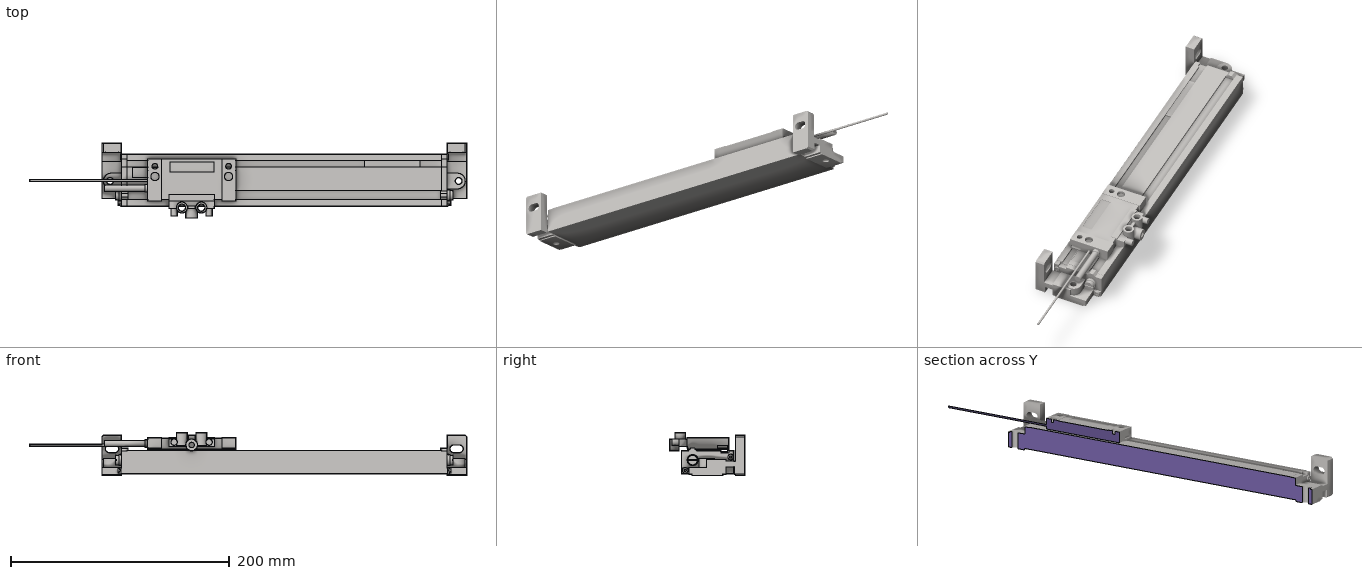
import cadquery as cq


rail_length = 298.0
rail_back = -10.0
rail_front = -58.0
rail_bottom = 1.5
rail_top = 23.0
rail_end = rail_length / 2
cap_length = 5.0
cap_drop = 0.3
back_groove = (-21.9, -15.9)
front_groove = (-51.6, -43.4)
groove_depth = 2.0
cap_groove = (-21.9, -14.6)
cap_groove_depth = 2.4
inlay_start, inlay_end = 73.5, 124.0
inlay_drop = 1.0
plate_recess_start, plate_recess_end = -139.0, -100.0
plate_recess_back, plate_recess_front = -22.5, -31.5
plate_recess_depth = 0.4

tab_length = 6.0
tab_center_y = -47.7
tab_base_width = 8.0
tab_crest_width = 3.5
tab_height = 2.2
lug_thickness = 2.3
lug_back = -51.0
lug_top = 7.0
lug_chamfer = 1.8
plug_z = 14.2
plug_radius = 4.4
plug_reach = 5.5
collar_radius = 5.0
collar_reach = 2.4
plug_slot_width = 0.8
plug_slot_depth = 0.8
screw_radius = 2.6
screw_reach = 1.0
socket_radius = 1.0
cap_screws = [(-12.8, 17.0), (-54.5, 4.8)]

bracket_length = 18.0
bracket_height = 37.0
plate_thickness = 8.5
plate_chamfer = 1.5
mount_slot_length = 12.0
mount_slot_width = 6.9
mount_slot_z = 24.5
mount_slot_from_end = 9.4
flange_bottom = 1.0
recess_front, recess_top = -17.0, 13.3
shelf_front, shelf_top = -35.0, 14.6
toe_front, toe_top = -50.8, 7.5
pad_back, pad_front = -20.0, -48.4
boss_top = 15.7
boss_width = 14.3
boss_y = -34.7
boss_corner = 7.0
boss_inset = 1.5
bracket_hole_diameter = 6.0
bracket_hole_from_end = 7.5
relief_back, relief_front = -9.4, -17.0
relief_top = 8.0

head_start, head_end = -125.0, -44.4
head_back, head_front = -14.6, -52.8
head_bottom, head_top = 24.0, 34.7
end_block_length = 12.8
middle_inset = 0.4
middle_front = -51.6
bottom_lip_height = 1.3
bottom_lip_inset = 0.5
end_pocket_back, end_pocket_front = -15.8, -25.0
end_pocket_top = 27.5
hole_from_end = 6.6
small_hole_y, small_hole_diameter = -21.2, 5.2
large_hole_y, large_hole_diameter = -30.6, 7.6
screw_recess_depth = 3.0
label_start, label_end = -104.7, -64.5
label_back, label_front = -17.2, -26.6
label_depth = 0.4

connector_x = -84.8
connector_block_length = 41.8
connector_block_back, connector_block_front = -47.0, -60.0
connector_block_bottom = 26.6
connector_shoulder_y = -53.0
connector_shoulder_drop = 1.4
tube_pitch = 17.8
tube_y = -59.0
tube_radius, tube_bore_radius = 5.0, 3.2
tube_bottom, tube_top = 27.5, 39.3
web_width = 6.4
web_back, web_front = -57.5, -60.0
web_top = 36.9
spout_z = 28.0
spout_radius, spout_bore_radius = 5.4, 2.5
spout_bore_depth = 6.0
spout_front = -68.65
knob_offset = 16.0
knob_z = 30.6
knob_radius = 2.9
knob_front = -66.8

cable_end = -233.0
cable_y, cable_z = -34.2, 27.7
cable_radius = 1.0
sleeve_start = -164.7
sleeve_y, sleeve_z = -41.4, 29.4
sleeve_radius = 2.9
nut_length = 2.5
nut_radius = 3.5
socket_overlap = 2.0


def box(x_range, y_range, z_range):
    """Box spanning the given pairs of limits, each in either order."""
    spans = (x_range, y_range, z_range)
    sizes = [abs(b - a) for a, b in spans]
    low = [min(span) for span in spans]
    return cq.Workplane("XY").box(*sizes, centered=False).translate(tuple(low))


def rod_x(y, z, radius, x_start, x_end):
    """Cylinder along X."""
    return cq.Workplane("YZ", origin=(x_start, y, z)).circle(radius).extrude(x_end - x_start)


def rod_y(x, z, radius, y_back, y_front):
    """Cylinder running toward -Y."""
    return cq.Workplane("XZ", origin=(x, y_back, z)).circle(radius).extrude(y_back - y_front)


def rod_z(x, y, radius, z_bottom, z_top):
    """Cylinder along Z."""
    return cq.Workplane("XY", origin=(x, y, z_bottom)).circle(radius).extrude(z_top - z_bottom)


def make_rail():
    """Grooved profile with slightly lower end caps and an inlay in the back groove."""
    body_end = rail_end - cap_length
    rail = box((-rail_end, rail_end), (rail_back, rail_front), (rail_bottom, rail_top - cap_drop))
    top_layer = box((-body_end, body_end), (rail_back, rail_front), (rail_bottom, rail_top))
    rail = rail.union(top_layer)
    for groove in (back_groove, front_groove):
        rail = rail.cut(box((-body_end, body_end), groove, (rail_top - groove_depth, rail_top)))
    for span in ((-rail_end, -body_end), (body_end, rail_end)):
        rail = rail.cut(box(span, cap_groove, (rail_top - cap_groove_depth, rail_top)))
    inlay = box((inlay_start, inlay_end), back_groove, (rail_top - groove_depth, rail_top - inlay_drop))
    plate_recess = box(
        (plate_recess_start, plate_recess_end),
        (plate_recess_back, plate_recess_front),
        (rail_top - plate_recess_depth, rail_top),
    )
    return rail.union(inlay).cut(plate_recess)


def make_cap_details():
    """Crest tab, lug, collared plug and screws of the end cap at +X."""
    cap_top = rail_top - cap_drop
    tab = (
        cq.Workplane("YZ", origin=(rail_end - tab_length, tab_center_y, 0))
        .moveTo(-tab_base_width / 2, rail_top - groove_depth)
        .lineTo(-tab_base_width / 2, cap_top)
        .lineTo(-tab_crest_width / 2, rail_top + tab_height)
        .lineTo(tab_crest_width / 2, rail_top + tab_height)
        .lineTo(tab_base_width / 2, cap_top)
        .lineTo(tab_base_width / 2, rail_top - groove_depth)
        .close()
        .extrude(tab_length)
    )
    lug_end = rail_end + lug_thickness
    lug = box((rail_end, lug_end), (lug_back, rail_front), (rail_bottom, lug_top))
    lug = lug.faces("<Y").edges(">X").chamfer(lug_chamfer)
    plug_end = rail_end + plug_reach
    plug = rod_x(tab_center_y, plug_z, plug_radius, rail_end, plug_end)
    plug_slot = box(
        (plug_end - plug_slot_depth, plug_end),
        (tab_center_y - plug_radius, tab_center_y + plug_radius),
        (plug_z - plug_slot_width / 2, plug_z + plug_slot_width / 2),
    )
    collar = rod_x(tab_center_y, plug_z, collar_radius, rail_end, rail_end + collar_reach)
    details = tab.union(lug).union(collar).union(plug.cut(plug_slot))
    for y, z in cap_screws:
        face_x = lug_end if y < lug_back else rail_end
        head = rod_x(y, z, screw_radius, rail_end, face_x + screw_reach)
        socket = rod_x(y, z, socket_radius, face_x, face_x + screw_reach)
        details = details.union(head).cut(socket)
    return details


def make_bracket():
    """Mounting bracket at the +X end, an upright plate with a stepped flange."""
    outer = rail_end + bracket_length
    span = (rail_end, outer)
    plate = box(span, (0, -plate_thickness), (0, bracket_height))
    plate = plate.edges("|Y and >X").chamfer(plate_chamfer)
    mount_slot = (
        cq.Workplane("XZ", origin=(outer - mount_slot_from_end, 0, mount_slot_z))
        .slot2D(mount_slot_length, mount_slot_width)
        .extrude(plate_thickness)
    )
    bracket = plate.cut(mount_slot)

    steps = [
        (-plate_thickness, recess_front, recess_top),
        (recess_front, shelf_front, shelf_top),
        (shelf_front, toe_front, toe_top),
    ]
    for back, front, top in steps:
        bracket = bracket.union(box(span, (back, front), (flange_bottom, top)))
    bracket = bracket.union(box(span, (pad_back, pad_front), (0, flange_bottom)))

    boss = box(
        (rail_end, outer - boss_inset),
        (boss_y - boss_width / 2, boss_y + boss_width / 2),
        (flange_bottom, boss_top),
    )
    boss = boss.edges("|Z and >X").fillet(boss_corner)
    hole = rod_z(outer - bracket_hole_from_end, boss_y, bracket_hole_diameter / 2, 0, boss_top)
    relief = box(span, (relief_back, relief_front), (0, relief_top))
    return bracket.union(boss).cut(hole).cut(relief)


def make_housing():
    """Rail with identical mirrored ends."""
    right_end = make_bracket().union(make_cap_details())
    left_end = right_end.mirror("YZ")
    return make_rail().union(right_end).union(left_end)


def make_head_block():
    """Reader head body: a middle section between two taller end blocks."""
    left_block_end = head_start + end_block_length
    right_block_start = head_end - end_block_length
    lip_top = head_bottom + bottom_lip_height
    middle_top = head_top - middle_inset
    block = box((left_block_end, right_block_start), (head_back, middle_front), (head_bottom, middle_top))
    for span in ((head_start, left_block_end), (right_block_start, head_end)):
        block = block.union(box(span, (head_back, head_front), (lip_top, head_top)))
        lip = box(span, (head_back, head_front + bottom_lip_inset), (head_bottom, lip_top))
        end_pocket = box(span, (end_pocket_back, end_pocket_front), (lip_top, end_pocket_top))
        block = block.union(lip).cut(end_pocket)

    for x in (head_start + hole_from_end, head_end - hole_from_end):
        small_hole = rod_z(x, small_hole_y, small_hole_diameter / 2, head_bottom, head_top)
        recess_bottom = head_top - screw_recess_depth
        large_hole = rod_z(x, large_hole_y, large_hole_diameter / 2, recess_bottom, head_top)
        block = block.cut(small_hole).cut(large_hole)
    label = box((label_start, label_end), (label_back, label_front), (middle_top - label_depth, middle_top))
    return block.cut(label)


def make_connectors():
    """Stepped block with two upright tubes, a front spout and two side knobs."""
    half_length = connector_block_length / 2
    span = (connector_x - half_length, connector_x + half_length)
    block = box(span, (connector_block_back, connector_shoulder_y), (connector_block_bottom, head_top))
    shoulder = box(
        span,
        (connector_shoulder_y, connector_block_front),
        (connector_block_bottom, head_top - connector_shoulder_drop),
    )
    connectors = block.union(shoulder)
    spout = rod_y(connector_x, spout_z, spout_radius, connector_block_front, spout_front)
    connectors = connectors.union(spout)
    web = box(
        (connector_x - web_width / 2, connector_x + web_width / 2), (web_back, web_front), (spout_z, web_top)
    )
    connectors = connectors.union(web)
    for side in (-1, 1):
        tube_x = connector_x + side * tube_pitch / 2
        knob_x = connector_x + side * knob_offset
        connectors = connectors.union(rod_z(tube_x, tube_y, tube_radius, tube_bottom, tube_top))
        connectors = connectors.cut(rod_z(tube_x, tube_y, tube_bore_radius, connector_block_bottom, tube_top))
        connectors = connectors.union(rod_y(knob_x, knob_z, knob_radius, connector_block_front, knob_front))
    spout_bore = rod_y(connector_x, spout_z, spout_bore_radius, spout_front + spout_bore_depth, spout_front)
    return connectors.cut(spout_bore)


def make_cables():
    """Thin cable and shorter sleeve with its nut, both leaving the head toward -X."""
    joint_x = head_start + socket_overlap
    cable = rod_x(cable_y, cable_z, cable_radius, cable_end, joint_x)
    sleeve = rod_x(sleeve_y, sleeve_z, sleeve_radius, sleeve_start, joint_x)
    nut = rod_x(sleeve_y, sleeve_z, nut_radius, head_start - nut_length, joint_x)
    return cable.union(sleeve).union(nut)


housing = make_housing()
reader_head = make_head_block().union(make_connectors()).union(make_cables())

result = cq.Compound.makeCompound([housing.val(), reader_head.val()])